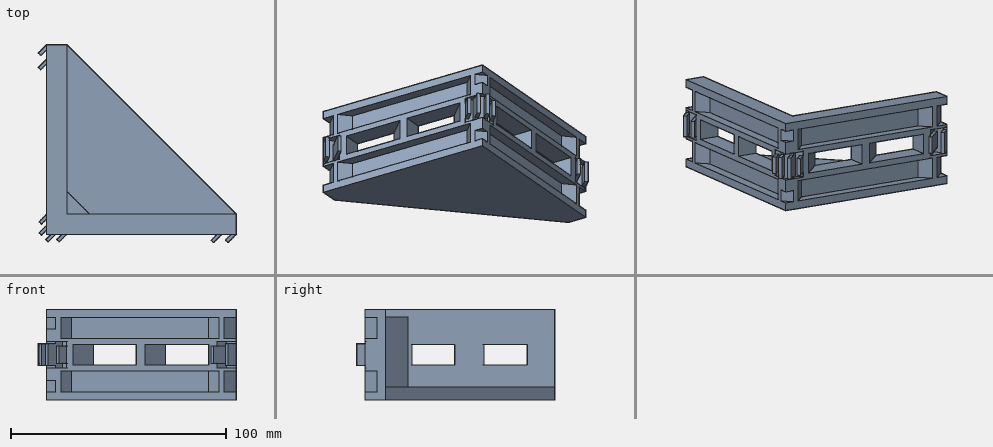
import cadquery as cq


leg_length = 88.0
leg_thickness = 9.6
height = 42.0
flange_thickness = 3.75

gusset_thickness = 6.0
corner_block_side = 10.3
corner_block_drop = 3.5

pocket_start = 6.65
pocket_end = 80.1
pocket_depth = 5.0
pocket_height = 9.75

end_cut = 5.6
corner_cut = 4.2
corner_cut_height = 5.3

window_spans = [(12.3, 41.6), (45.6, 75.2)]
window_height = 9.4

recess_height = 12.4
slot_floor = 10.5
slot_end = 9.35
end_recess_start = 79.0

end_hook_reach = 3.82
corner_hook_reach = 3.45
tall_hook_height = 10.2
short_hook_height = 8.0
narrow_hook_width = 2.3
wide_hook_width = 2.5


def prism(points, z_low, tall):
    """Upright prism over a plan outline."""
    return cq.Workplane("XY").workplane(offset=z_low).polyline(points).close().extrude(tall)


def centred_bottom(tall):
    """Bottom level of a feature centred on the mid height."""
    return (height - tall) / 2


def swapped(points):
    """Plan outline mirrored about x = y, onto the other leg."""
    return [(y, x) for x, y in points]


def slant_point(along, across):
    """Plan point with x + y = along and x - y = across."""
    return ((along + across) / 2, (along - across) / 2)


def make_frame():
    outline = [
        (0, 0),
        (leg_length, 0),
        (leg_length, leg_thickness),
        (leg_thickness, leg_thickness),
        (leg_thickness, leg_length),
        (0, leg_length),
    ]
    return prism(outline, 0, height)


def make_gusset():
    outline = [
        (leg_thickness, leg_thickness),
        (leg_length, leg_thickness),
        (leg_thickness, leg_length),
    ]
    return prism(outline, 0, gusset_thickness)


def make_corner_block():
    block_end = leg_thickness + corner_block_side
    outline = [
        (leg_thickness, leg_thickness),
        (block_end, leg_thickness),
        (leg_thickness, block_end),
    ]
    return prism(outline, 0, height - corner_block_drop)


def corner_outline():
    """Triangle that bevels the outer corner edge."""
    return [(0, 0), (corner_cut, 0), (0, corner_cut)]


def cut_both_legs(body, points, z_low, tall):
    """Cut the same outline out of both legs."""
    for outline in (points, swapped(points)):
        body = body.cut(prism(outline, z_low, tall))
    return body


def cut_pockets(body):
    """Two rows of pockets, each with a notch at the leg ends and a bevel at the corner."""
    pocket = [
        (pocket_start, 0),
        (pocket_end, 0),
        (pocket_end - pocket_depth, pocket_depth),
        (pocket_start + pocket_depth, pocket_depth),
    ]
    end_notch = [(leg_length - end_cut, 0), (leg_length, 0), (leg_length, end_cut)]
    flange_underside = height - flange_thickness
    for z_low in (flange_thickness, flange_underside - pocket_height):
        body = cut_both_legs(body, pocket, z_low, pocket_height)
        body = cut_both_legs(body, end_notch, z_low, pocket_height)
    for z_low in (flange_thickness, flange_underside - corner_cut_height):
        body = body.cut(prism(corner_outline(), z_low, corner_cut_height))
    return body


def cut_windows(body):
    for start, end in window_spans:
        window = [(start, 0), (end, 0), (end, leg_thickness), (start + leg_thickness, leg_thickness)]
        body = cut_both_legs(body, window, centred_bottom(window_height), window_height)
    return body


def cut_recesses(body):
    """Slanted recesses around the hooks: a corner bevel, a slot beside it and one at each leg end."""
    slot = [
        (corner_cut, 0),
        (slot_end, 0),
        slant_point(slot_floor, slot_end),
        slant_point(slot_floor, corner_cut),
    ]
    end_recess = [
        (end_recess_start, 0),
        (leg_length, 0),
        slant_point(leg_length, end_recess_start),
    ]
    z_low = centred_bottom(recess_height)
    body = body.cut(prism(corner_outline(), z_low, recess_height))
    body = cut_both_legs(body, slot, z_low, recess_height)
    return cut_both_legs(body, end_recess, z_low, recess_height)


def add_hook(body, root, side, width, reach, tall):
    """Add a 45 degree bar to each leg.

    It grows from the recess floor x + y = root, has its far side on x - y = side,
    and stands out from the leg face by reach; width is measured along the leg face.
    """
    tip = side - 2 * reach
    bar = [
        slant_point(root, side),
        slant_point(tip, side),
        slant_point(tip, side - width),
        slant_point(root, side - width),
    ]
    for outline in (bar, swapped(bar)):
        body = body.union(prism(outline, centred_bottom(tall), tall))
    return body


def add_hooks(body):
    """For each leg, a tall and a short hook at the corner and at the leg end."""
    short_hook_side = end_recess_start + narrow_hook_width
    body = add_hook(body, corner_cut, corner_cut, narrow_hook_width, corner_hook_reach, tall_hook_height)
    body = add_hook(body, slot_floor, slot_end, narrow_hook_width, corner_hook_reach, short_hook_height)
    body = add_hook(body, leg_length, short_hook_side, narrow_hook_width, end_hook_reach, short_hook_height)
    return add_hook(body, leg_length, leg_length, wide_hook_width, end_hook_reach, tall_hook_height)


body = make_frame().union(make_gusset()).union(make_corner_block())
body = cut_pockets(body)
body = cut_windows(body)
body = cut_recesses(body)
result = add_hooks(body)